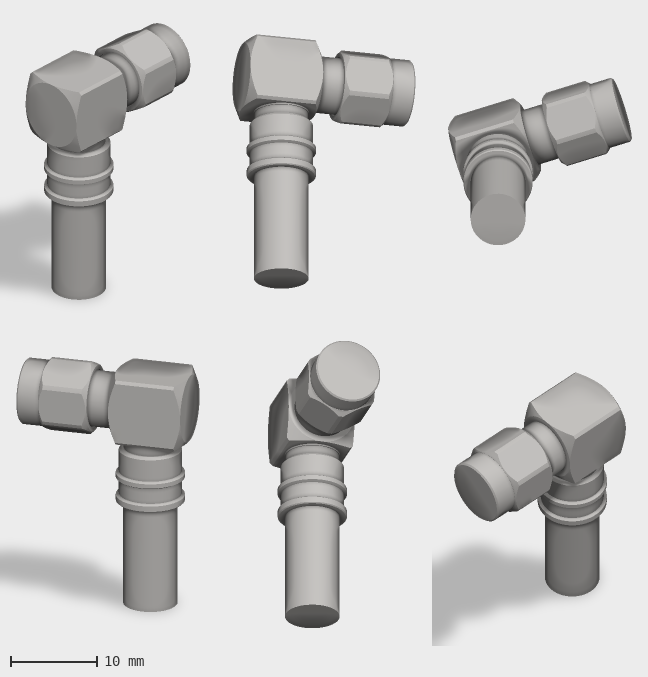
import cadquery as cq
import math


block_width = 8.0
block_round_radius = 5.43
block_front_y = -4.8
block_back_y = 3.97
block_chamfer_angle = 30

connector_neck_radius = 3.3
nut_width = block_width
nut_sides = 6
nut_round_radius = 4.47
nut_end_radius = 3.9
nut_front_y = 6.63
nut_length = 5.87
nut_chamfer_angle = 45
nut_bore_radius = 3.45
nut_bore_depth = 0.23
sleeve_radius = 3.88
sleeve_end_y = 15.15
sleeve_chamfer = 0.18

stem_bottom_z = -24.73
stem_radius = 3.18
flange_radius = 3.25
flange_bottom_z = -4.18
stem_neck_radius = 3.12
collar_radius = 3.68
collar_top_z = -5.29
collar_chamfer = 0.3
upper_ring_radius = 8.1 / 2
upper_ring_top_z = -8.23
upper_ring_bottom_z = -9.17
lower_ring_radius = 4.03
lower_ring_top_z = -11.0
lower_ring_bottom_z = -12.0
ring_chamfer_height = 0.2
lower_ring_edge_chamfer = 0.12


def section_at(y):
    """Workplane across the connector axis at y, extruding toward +Y."""
    return cq.Workplane("XZ", origin=(0, y, 0)).workplane(invert=True)


def disc(y_start, y_end, radius):
    """Solid cylinder on the connector axis."""
    return section_at(y_start).circle(radius).extrude(y_end - y_start)


def turned_envelope(y_start, y_end, end_radius, full_radius, angle):
    """Cylinder on the connector axis with a cone at each end."""
    cone_length = (full_radius - end_radius) * math.tan(math.radians(angle))
    outline = [
        (0, y_start),
        (end_radius, y_start),
        (full_radius, y_start + cone_length),
        (full_radius, y_end - cone_length),
        (end_radius, y_end),
        (0, y_end),
    ]
    return cq.Workplane("XY").polyline(outline).close().revolve(360, (0, 0, 0), (0, 1, 0))


def make_block():
    bar = section_at(block_front_y).rect(block_width, block_width).extrude(block_back_y - block_front_y)
    return bar.intersect(turned_envelope(
        block_front_y, block_back_y, block_width / 2, block_round_radius, block_chamfer_angle))


def make_nut():
    nut_back_y = nut_front_y + nut_length
    corner_diameter = nut_width / math.cos(math.pi / nut_sides)
    hexagon = (
        section_at(nut_front_y)
        .transformed(rotate=(0, 0, 90))
        .polygon(nut_sides, corner_diameter)
        .extrude(nut_length)
    )
    nut = hexagon.intersect(turned_envelope(
        nut_front_y, nut_back_y, nut_end_radius, nut_round_radius, nut_chamfer_angle))
    nut = nut.cut(disc(nut_front_y, nut_front_y + nut_bore_depth, nut_bore_radius))
    sleeve = disc(nut_back_y, sleeve_end_y, sleeve_radius).faces(">Y").chamfer(sleeve_chamfer)
    return nut.union(sleeve)


def make_connector_neck():
    return disc(0, nut_front_y + nut_length / 2, connector_neck_radius)


def make_stem():
    profile = [
        (0, 0),
        (flange_radius, 0),
        (flange_radius, flange_bottom_z),
        (stem_neck_radius, flange_bottom_z),
        (stem_neck_radius, collar_top_z),
        (collar_radius - collar_chamfer, collar_top_z),
        (collar_radius, collar_top_z - collar_chamfer),
        (collar_radius, upper_ring_top_z),
        (upper_ring_radius, upper_ring_top_z - ring_chamfer_height),
        (upper_ring_radius, upper_ring_bottom_z + ring_chamfer_height),
        (collar_radius, upper_ring_bottom_z),
        (collar_radius, lower_ring_top_z),
        (lower_ring_radius, lower_ring_top_z - ring_chamfer_height),
        (lower_ring_radius, lower_ring_bottom_z + lower_ring_edge_chamfer),
        (lower_ring_radius - lower_ring_edge_chamfer, lower_ring_bottom_z),
        (stem_radius, lower_ring_bottom_z),
        (stem_radius, stem_bottom_z),
        (0, stem_bottom_z),
    ]
    return cq.Workplane("XZ").polyline(profile).close().revolve(360, (0, 0, 0), (0, 1, 0))


result = make_block().union(make_connector_neck()).union(make_nut()).union(make_stem())